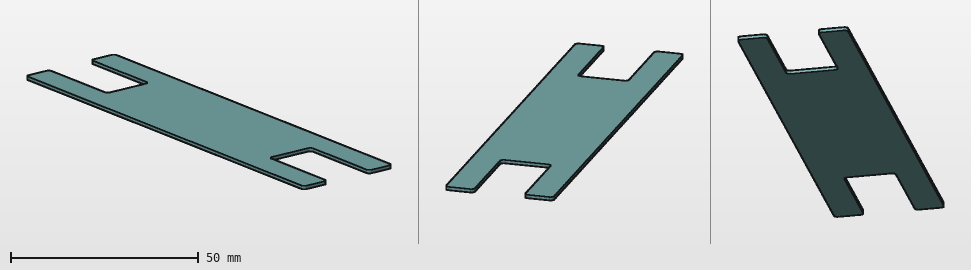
import cadquery as cq

length = 120.0
width = 30.0
thickness = 1.0

slot_depth = 25.0
slot_width = 14.0

corner_radius = 1.0


def end_slot(side):
    """Cutter for one end: side is +1 for the +X end, -1 for the -X end.

    It overshoots the end by its own depth, so only its inner corners stay in the plate.
    """
    return (
        cq.Workplane("XY")
        .center(side * length / 2, 0)
        .rect(2 * slot_depth, slot_width)
        .extrude(thickness)
        .edges("|Z")
        .fillet(corner_radius)
    )


plate = cq.Workplane("XY").rect(length, width).extrude(thickness)
for side in (-1, 1):
    plate = plate.cut(end_slot(side))

result = plate.faces("<X or >X").edges("|Z").fillet(corner_radius)